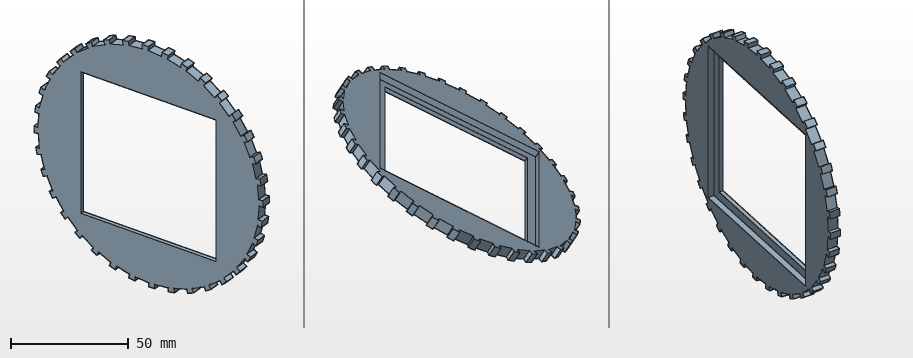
import cadquery as cq

outer_diameter = 118.6
thickness = 5.0

window_side = 69.9
window_lip_thickness = 2.0
recess_margin = 4.2
recess_side = window_side + 2 * recess_margin

notch_count = 36
notch_pitch = 360 / notch_count
first_notch_angle = notch_pitch / 2
notch_width = 7.0
notch_floor_distance = 57.2
notch_offset = 1.7
rim_clearance = 1.2
notch_height = outer_diameter / 2 - notch_floor_distance + rim_clearance

front_y = -thickness / 2
back_y = thickness / 2
lip_back_y = front_y + window_lip_thickness


def section_at(y):
    """Workplane parallel to XZ at the given Y; extruding goes toward -Y."""
    return cq.Workplane("XZ", origin=(0, y, 0))


def toothless_ring():
    """Round disc with the stepped square window."""
    disc = section_at(back_y).circle(outer_diameter / 2).extrude(thickness)
    window = section_at(back_y).rect(window_side, window_side).extrude(thickness)
    recess_depth = back_y - lip_back_y
    recess = section_at(back_y).rect(recess_side, recess_side).extrude(recess_depth)
    return disc.cut(window).cut(recess)


def rim_notch(angle):
    """Rectangular cutter for one notch, turned about the disc axis."""
    cutter = (
        section_at(back_y)
        .center(-notch_offset, notch_floor_distance + notch_height / 2)
        .rect(notch_width, notch_height)
        .extrude(thickness)
    )
    return cutter.rotate((0, 0, 0), (0, 1, 0), angle)


result = toothless_ring()
for index in range(notch_count):
    result = result.cut(rim_notch(first_notch_angle + index * notch_pitch))